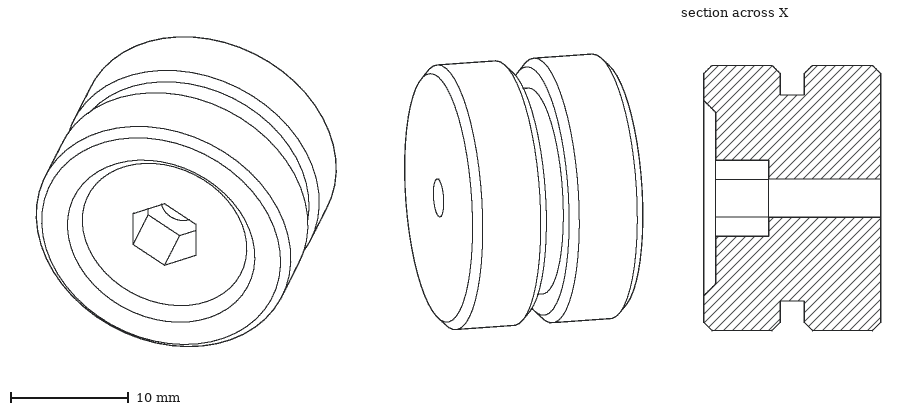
import cadquery as cq

outer_diameter = 22.5
width = 15.0
groove_diameter = 17.5
groove_width = 2.0
edge_chamfer = 0.7

recess_mouth_diameter = 16.55
recess_floor_diameter = 14.53
recess_depth = 1.01

hex_across_flats = 5.55
hex_depth = 4.5
bore_diameter = 3.22

outer_radius = outer_diameter / 2
groove_radius = groove_diameter / 2
front_y = -width / 2
rim_width = (width - groove_width) / 2
recess_floor_y = front_y + recess_depth
hex_corner_radius = hex_across_flats / 3 ** 0.5


def front_plane(y):
    """Plane across the axis at the given Y, with its normal toward +Y."""
    return cq.Plane(origin=(0, y, 0), xDir=(0, 0, 1), normal=(0, 1, 0))


def disc(radius, start_y, length):
    return cq.Workplane(front_plane(start_y)).circle(radius).extrude(length)


def rim(start_y):
    """One of the two rolling rims, chamfered on both edges."""
    return disc(outer_radius, start_y, rim_width).edges().chamfer(edge_chamfer)


def recess():
    """Tapered dish in the front face."""
    return (
        cq.Workplane(front_plane(front_y))
        .circle(recess_mouth_diameter / 2)
        .workplane(offset=recess_depth)
        .circle(recess_floor_diameter / 2)
        .loft(ruled=True)
    )


def hex_socket():
    """Hexagonal pocket in the recess floor, with corners up and down."""
    return (
        cq.Workplane(front_plane(recess_floor_y))
        .polygon(6, 2 * hex_corner_radius)
        .extrude(hex_depth)
    )


wheel = disc(groove_radius, front_y + rim_width, groove_width)
for rim_start in (front_y, groove_width / 2):
    wheel = wheel.union(rim(rim_start))

bore = disc(bore_diameter / 2, front_y, width)
result = wheel.cut(recess()).cut(hex_socket()).cut(bore)